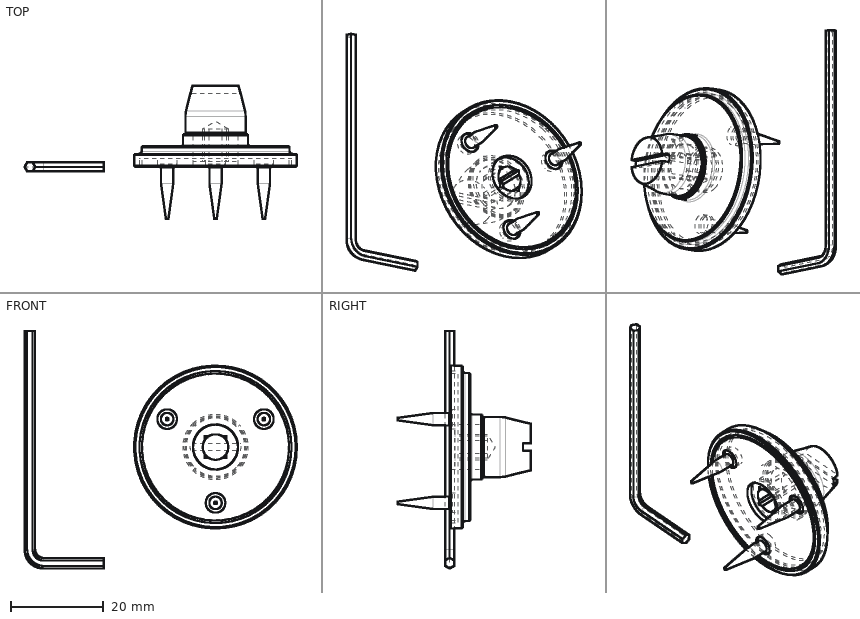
import cadquery as cq
import math


FLANGE_RADIUS = 17.5
FLANGE_TOP = 2.8
EDGE_CHAMFER = 0.3
STEP_RADIUS = 15.95
STEP_TOP = 4.45
COLLAR_RADIUS = 7.05
COLLAR_TOP = 7.05
COLLAR_FILLET = 0.35
STEP_FILLET = 0.5
BORE_RADIUS = 4.85
RECESS_RADIUS = 16.35
RECESS_DEPTH = 1.75

COVER_RADIUS = 15.8

SPIKE_COUNT = 3
SPIKE_CIRCLE_RADIUS = 12.0
SPIKE_RADIUS = 1.35
SPIKE_TIP_RADIUS = 0.3
SPIKE_LENGTH = 11.2
SPIKE_SHANK_LENGTH = 3.6
SPIKE_HEAD_RADIUS = 2.1
SPIKE_SHOULDER = 0.2

SHANK_RADIUS = 4.8
SHANK_END = 1.1
NECK_RADIUS = 6.3
KNOB_RADIUS = 6.5
KNOB_START = 7.4
KNOB_TOP = 17.45
KNOB_TOP_RADIUS = 5.05
ARC_START = 10.8
ARC_END = 12.0
ARC_END_RADIUS = 6.4
SLOT_WIDTH = 1.6
SLOT_DEPTH = 1.65
DRIVE_SIDE = 4.75
DRIVE_DEPTH = 7.05
DRILL_RADIUS = 2.75
DRILL_POINT_ANGLE = 118

KEY_ACROSS_FLATS = 2.0
KEY_LEFT = FLANGE_RADIUS - 58.6
KEY_TOP = 25.0
KEY_HEIGHT = 51.1
KEY_FOOT_LENGTH = 17.05
KEY_BEND_RADIUS = 2.95

ARC_MID = 1 - math.sqrt(0.5)


def turn(profile):
    """Turn a closed (radius, Y) profile about the Y axis."""
    return profile.close().revolve(360, (0, 0, 0), (0, 1, 0))


def cylinder(radius, start, end):
    """Cylinder about the Y axis between two Y positions."""
    return cq.Workplane("XZ", origin=(0, start, 0)).circle(radius).extrude(start - end)


def spike_places():
    """(X, Z) of each spike, the first one straight below the axis."""
    angles = [math.radians(-90 + 360 * i / SPIKE_COUNT) for i in range(SPIKE_COUNT)]
    return [(SPIKE_CIRCLE_RADIUS * math.cos(a), SPIKE_CIRCLE_RADIUS * math.sin(a)) for a in angles]


def make_housing():
    """Stepped flange and collar, with a front recess and a bore for the spindle."""
    step_root = STEP_RADIUS + STEP_FILLET
    collar_root = COLLAR_RADIUS + COLLAR_FILLET
    step_mid = STEP_FILLET * ARC_MID
    collar_mid = COLLAR_FILLET * ARC_MID
    profile = (
        cq.Workplane("XY")
        .moveTo(BORE_RADIUS, RECESS_DEPTH)
        .lineTo(RECESS_RADIUS, RECESS_DEPTH)
        .lineTo(RECESS_RADIUS, 0)
        .lineTo(FLANGE_RADIUS - EDGE_CHAMFER, 0)
        .lineTo(FLANGE_RADIUS, EDGE_CHAMFER)
        .lineTo(FLANGE_RADIUS, FLANGE_TOP - EDGE_CHAMFER)
        .lineTo(FLANGE_RADIUS - EDGE_CHAMFER, FLANGE_TOP)
        .lineTo(step_root, FLANGE_TOP)
        .threePointArc(
            (STEP_RADIUS + step_mid, FLANGE_TOP + step_mid),
            (STEP_RADIUS, FLANGE_TOP + STEP_FILLET),
        )
        .lineTo(STEP_RADIUS, STEP_TOP - EDGE_CHAMFER)
        .lineTo(STEP_RADIUS - EDGE_CHAMFER, STEP_TOP)
        .lineTo(collar_root, STEP_TOP)
        .threePointArc(
            (COLLAR_RADIUS + collar_mid, STEP_TOP + collar_mid),
            (COLLAR_RADIUS, STEP_TOP + COLLAR_FILLET),
        )
        .lineTo(COLLAR_RADIUS, COLLAR_TOP - EDGE_CHAMFER)
        .lineTo(COLLAR_RADIUS - EDGE_CHAMFER, COLLAR_TOP)
        .lineTo(BORE_RADIUS, COLLAR_TOP)
    )
    return turn(profile)


def make_cover():
    """Flat plate with a bore for the spindle and a hole for each spike head."""
    cover = cylinder(COVER_RADIUS, 0, RECESS_DEPTH).cut(cylinder(BORE_RADIUS, 0, RECESS_DEPTH))
    for x, z in spike_places():
        cover = cover.cut(cylinder(SPIKE_HEAD_RADIUS, 0, RECESS_DEPTH).translate((x, 0, z)))
    return cover


def make_spike(x, z):
    """Pointed spike whose head narrows at 45 degrees to the shank."""
    cone_start = SPIKE_HEAD_RADIUS - SPIKE_RADIUS - SPIKE_SHOULDER
    profile = (
        cq.Workplane("XY")
        .moveTo(0, RECESS_DEPTH)
        .lineTo(SPIKE_HEAD_RADIUS, RECESS_DEPTH)
        .lineTo(SPIKE_HEAD_RADIUS, cone_start)
        .lineTo(SPIKE_RADIUS, -SPIKE_SHOULDER)
        .lineTo(SPIKE_RADIUS, -SPIKE_SHANK_LENGTH)
        .lineTo(SPIKE_TIP_RADIUS, -SPIKE_LENGTH)
        .lineTo(0, -SPIKE_LENGTH)
    )
    return turn(profile).translate((x, 0, z))


def make_drive_socket():
    """Square socket over a drilled hole with a conical end."""
    socket_end = SHANK_END + DRIVE_DEPTH
    square = (
        cq.Workplane("XZ", origin=(0, SHANK_END, 0)).rect(DRIVE_SIDE, DRIVE_SIDE).extrude(-DRIVE_DEPTH)
    )
    point_length = DRILL_RADIUS / math.tan(math.radians(DRILL_POINT_ANGLE / 2))
    drill = (
        cq.Workplane("XY")
        .moveTo(0, SHANK_END)
        .lineTo(DRILL_RADIUS, SHANK_END)
        .lineTo(DRILL_RADIUS, socket_end)
        .lineTo(0, socket_end + point_length)
    )
    return square.union(turn(drill))


def make_spindle():
    """Shank and rounded, tapered knob, slotted at the top, with a square socket in the shank."""
    profile = (
        cq.Workplane("XY")
        .moveTo(0, SHANK_END)
        .lineTo(SHANK_RADIUS, SHANK_END)
        .lineTo(SHANK_RADIUS, COLLAR_TOP)
        .lineTo(NECK_RADIUS, COLLAR_TOP)
        .lineTo(NECK_RADIUS, KNOB_START)
        .lineTo(KNOB_RADIUS, KNOB_START)
        .lineTo(KNOB_RADIUS, ARC_START)
        .tangentArcPoint((ARC_END_RADIUS, ARC_END), relative=False)
        .lineTo(KNOB_TOP_RADIUS, KNOB_TOP)
        .lineTo(0, KNOB_TOP)
    )
    slot = cq.Workplane("XY").box(2 * KNOB_RADIUS, SLOT_DEPTH, SLOT_WIDTH)
    slot = slot.translate((0, KNOB_TOP - SLOT_DEPTH / 2, 0))
    return turn(profile).cut(slot).cut(make_drive_socket())


def make_hex_key():
    """Hexagonal bar bent to an L, with its flats facing -Y and +Y."""
    across_corners = KEY_ACROSS_FLATS / math.cos(math.pi / 6)
    leg_x = KEY_LEFT + across_corners / 2
    foot_z = KEY_TOP - KEY_HEIGHT + across_corners / 2
    bend_mid = KEY_BEND_RADIUS * ARC_MID
    path = (
        cq.Workplane("XZ")
        .moveTo(leg_x, KEY_TOP)
        .lineTo(leg_x, foot_z + KEY_BEND_RADIUS)
        .threePointArc((leg_x + bend_mid, foot_z + bend_mid), (leg_x + KEY_BEND_RADIUS, foot_z))
        .lineTo(KEY_LEFT + KEY_FOOT_LENGTH, foot_z)
    )
    section = cq.Workplane("XY", origin=(leg_x, 0, KEY_TOP)).polygon(6, across_corners)
    return section.sweep(path)


housing = make_housing()
cover = make_cover()
spikes = [make_spike(x, z) for x, z in spike_places()]
spindle = make_spindle()
hex_key = make_hex_key()

result = cq.Compound.makeCompound(
    [
        housing.val(),
        cover.val(),
        *[spike.val() for spike in spikes],
        spindle.val(),
        hex_key.val(),
    ]
)